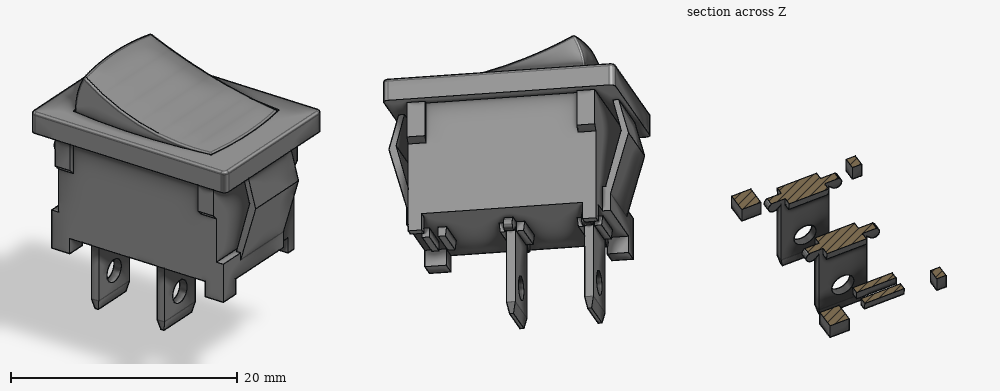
import cadquery as cq
import math


bezel_length = 21.0
bezel_width = 15.0
bezel_height = 2.04
bezel_corner_radius = 0.5
bezel_top_radius = 0.25

rocker_half_length = 7.77
rocker_half_width = 5.73
rocker_end_bow = 0.46
rocker_side_bow = 0.55
rocker_gap = 0.09
opening_depth = 1.0
rocker_edge_radius = 0.2
rocker_side_draft = 1.2
rocker_overrun = 1.0

rocker_peak_x = -6.8
rocker_peak_z = 5.98
rocker_middle_z = 3.1
rocker_low_z = 2.12

body_length = 17.0
body_width = 12.05
body_depth = 10.27
pad_length = 1.62
pad_depth = 3.7
pad_rise = 0.5

foot_reach = 9.23
foot_inner_x = 7.28
foot_top_z = -8.0
foot_bottom_z = -11.79
front_foot_thickness = 1.95
back_foot_thickness = 0.95

clip_width = 6.65
clip_top_x = 9.96
clip_apex_x = 10.85
clip_apex_z = -3.16
clip_inner_top_x = 9.43
clip_inner_apex_x = 10.19
clip_inner_apex_z = -2.86
clip_inner_bottom_x = 8.78
clip_bottom_z = -8.7

terminal_pitch = 7.07
terminal_width = 4.8
terminal_thickness = 0.8
terminal_bottom_z = -18.85
terminal_tip_height = 1.02
terminal_tip_width = 4.3
terminal_tip_thickness = 0.36
terminal_hole_diameter = 2.2
terminal_hole_z = -15.82
terminal_embed = 1.0
lobe_y = 3.14
lobe_z = -10.87
lobe_radius = 0.54
lobe_length = 1.5
lobe_angle = 45.0

collar_length = 2.32
collar_width = 3.98
collar_height = 0.85
collar_draft = 0.11


def box(x_range, y_range, z_range):
    """Box between the given limits."""
    size = [high - low for low, high in (x_range, y_range, z_range)]
    corner = (x_range[0], y_range[0], z_range[0])
    return cq.Workplane("XY").box(*size, centered=False).translate(corner)


def mirrored_pair(shape):
    """The shape together with its mirror image at the other end of X."""
    return shape.union(shape.mirror("YZ"))


def bowed_outline(plane, half_length, half_width, end_bow, side_bow):
    """Closed outline of four outward arcs meeting at four corners."""
    corner_x = half_length - end_bow
    corner_y = half_width - side_bow
    return (
        plane.moveTo(-corner_x, -corner_y)
        .threePointArc((0, -half_width), (corner_x, -corner_y))
        .threePointArc((half_length, 0), (corner_x, corner_y))
        .threePointArc((0, half_width), (-corner_x, corner_y))
        .threePointArc((-half_length, 0), (-corner_x, -corner_y))
        .close()
    )


def make_bezel():
    bezel = cq.Workplane("XY").rect(bezel_length, bezel_width).extrude(bezel_height)
    bezel = bezel.edges("|Z").fillet(bezel_corner_radius)
    bezel = bezel.faces(">Z").edges().fillet(bezel_top_radius)
    floor_plane = cq.Workplane("XY").workplane(offset=bezel_height - opening_depth)
    opening = bowed_outline(
        floor_plane,
        rocker_half_length + rocker_gap,
        rocker_half_width + rocker_gap,
        rocker_end_bow,
        rocker_side_bow,
    ).extrude(opening_depth)
    return bezel.cut(opening)


def make_rocker():
    """Barrel turned about the pivot axis, trimmed by the bowed sides and the finger surface."""
    floor_z = bezel_height - opening_depth
    corner_x = rocker_half_length - rocker_end_bow
    corner_y = rocker_half_width - rocker_side_bow
    end_arc_radius = (corner_y**2 + rocker_end_bow**2) / (2 * rocker_end_bow)
    arc_center = rocker_half_length - end_arc_radius
    barrel_y = rocker_half_width
    barrel_end_radius = arc_center + math.sqrt(end_arc_radius**2 - barrel_y**2)
    barrel = (
        cq.Workplane("XY", origin=(0, 0, bezel_height))
        .moveTo(0, -barrel_y)
        .lineTo(barrel_end_radius, -barrel_y)
        .threePointArc((rocker_half_length, 0), (barrel_end_radius, barrel_y))
        .lineTo(0, barrel_y)
        .close()
        .revolve(360, (0, 0, 0), (0, 1, 0))
    )

    side_radius = (corner_x**2 + rocker_side_bow**2) / (2 * rocker_side_bow)
    reach = rocker_half_length + rocker_overrun
    reach_y = rocker_half_width - side_radius + math.sqrt(side_radius**2 - reach**2)
    sides = (
        cq.Workplane("XY", origin=(0, 0, floor_z))
        .moveTo(-reach, -reach_y)
        .threePointArc((0, -rocker_half_width), (reach, -reach_y))
        .lineTo(reach, reach_y)
        .threePointArc((0, rocker_half_width), (-reach, reach_y))
        .close()
        .extrude(rocker_peak_z, taper=rocker_side_draft)
    )

    below_finger = (
        cq.Workplane("XZ")
        .moveTo(-reach, floor_z)
        .lineTo(-reach, rocker_peak_z)
        .lineTo(rocker_peak_x, rocker_peak_z)
        .threePointArc((0, rocker_middle_z), (reach, rocker_low_z))
        .lineTo(reach, floor_z)
        .close()
        .extrude(rocker_half_width, both=True)
    )
    rocker = barrel.intersect(sides).intersect(below_finger)
    bottom_edges = rocker.faces("<Z").edges().vals()
    exposed_edges = [edge for edge in rocker.edges().vals() if edge not in bottom_edges]
    return rocker.newObject(exposed_edges).fillet(rocker_edge_radius)


def make_body():
    half_length = body_length / 2
    half_width = body_width / 2
    body = box((-half_length, half_length), (-half_width, half_width), (-body_depth, 0))

    pad_y = half_width + pad_rise
    pad_profile = [
        (-pad_y, 0),
        (-pad_y, pad_rise - pad_depth),
        (-half_width, -pad_depth),
        (half_width, -pad_depth),
        (pad_y, pad_rise - pad_depth),
        (pad_y, 0),
    ]
    pads = (
        cq.Workplane("YZ", origin=(-half_length, 0, 0))
        .polyline(pad_profile)
        .close()
        .extrude(pad_length)
    )
    return body.union(mirrored_pair(pads))


def make_feet():
    half_width = body_width / 2
    step = box(
        (-foot_reach, -foot_inner_x),
        (-half_width, clip_width / 2),
        (-body_depth, foot_top_z),
    )
    front_foot = box(
        (-foot_reach, -foot_inner_x),
        (-half_width, front_foot_thickness - half_width),
        (foot_bottom_z, foot_top_z),
    )
    back_foot = box(
        (-body_length / 2, -foot_inner_x),
        (half_width - back_foot_thickness, half_width),
        (foot_bottom_z, foot_top_z),
    )
    return mirrored_pair(step.union(front_foot).union(back_foot))


def make_clips():
    """Bent strips from the bezel down to the steps at the ends of the housing."""
    profile = [
        (-clip_top_x, 0),
        (-clip_apex_x, clip_apex_z),
        (-foot_reach, clip_bottom_z),
        (-clip_inner_bottom_x, clip_bottom_z),
        (-clip_inner_bottom_x, foot_top_z),
        (-clip_inner_apex_x, clip_inner_apex_z),
        (-clip_inner_top_x, 0),
    ]
    clip = cq.Workplane("XZ").polyline(profile).close().extrude(clip_width / 2, both=True)
    return mirrored_pair(clip)


def make_terminal(x):
    """Blade with a tapered tip, a hole and two rounded lobes under the housing."""
    half_width = terminal_width / 2
    tip_top_z = terminal_bottom_z + terminal_tip_height
    half_thickness = terminal_thickness / 2
    blade = box(
        (-half_thickness, half_thickness),
        (-half_width, half_width),
        (tip_top_z, terminal_embed - body_depth),
    )
    tip = (
        cq.Workplane("XY", origin=(0, 0, tip_top_z))
        .rect(terminal_thickness, terminal_width)
        .workplane(offset=-terminal_tip_height)
        .rect(terminal_tip_thickness, terminal_tip_width)
        .loft()
    )
    hole = (
        cq.Workplane("YZ", origin=(0, 0, terminal_hole_z))
        .circle(terminal_hole_diameter / 2)
        .extrude(terminal_thickness, both=True)
    )
    lobe = (
        cq.Workplane("YZ")
        .moveTo(0, lobe_radius)
        .lineTo(0, -lobe_radius)
        .lineTo(lobe_length, -lobe_radius)
        .threePointArc((lobe_length + lobe_radius, 0), (lobe_length, lobe_radius))
        .close()
        .extrude(half_thickness, both=True)
        .translate((0, -lobe_length, 0))
        .rotate((0, 0, 0), (1, 0, 0), -lobe_angle)
        .translate((0, lobe_y, lobe_z))
    )
    terminal = blade.union(tip).union(lobe).union(lobe.mirror("XZ")).cut(hole)
    return terminal.translate((x, 0, 0))


def make_collar(x):
    """Two tapered ridges, one on each side of a terminal slot."""
    half_length = collar_length / 2
    half_slot = terminal_thickness / 2
    profile = [
        (-half_length, 0),
        (collar_draft - half_length, -collar_height),
        (-half_slot, -collar_height),
        (-half_slot, 0),
    ]
    ridge = cq.Workplane("XZ").polyline(profile).close().extrude(collar_width / 2, both=True)
    return mirrored_pair(ridge).translate((x, 0, -body_depth))


result = make_bezel().union(make_rocker()).union(make_body()).union(make_feet()).union(make_clips())
for slot_x in (-terminal_pitch, 0, terminal_pitch):
    result = result.union(make_collar(slot_x))
for terminal_x in (-terminal_pitch, 0):
    result = result.union(make_terminal(terminal_x))